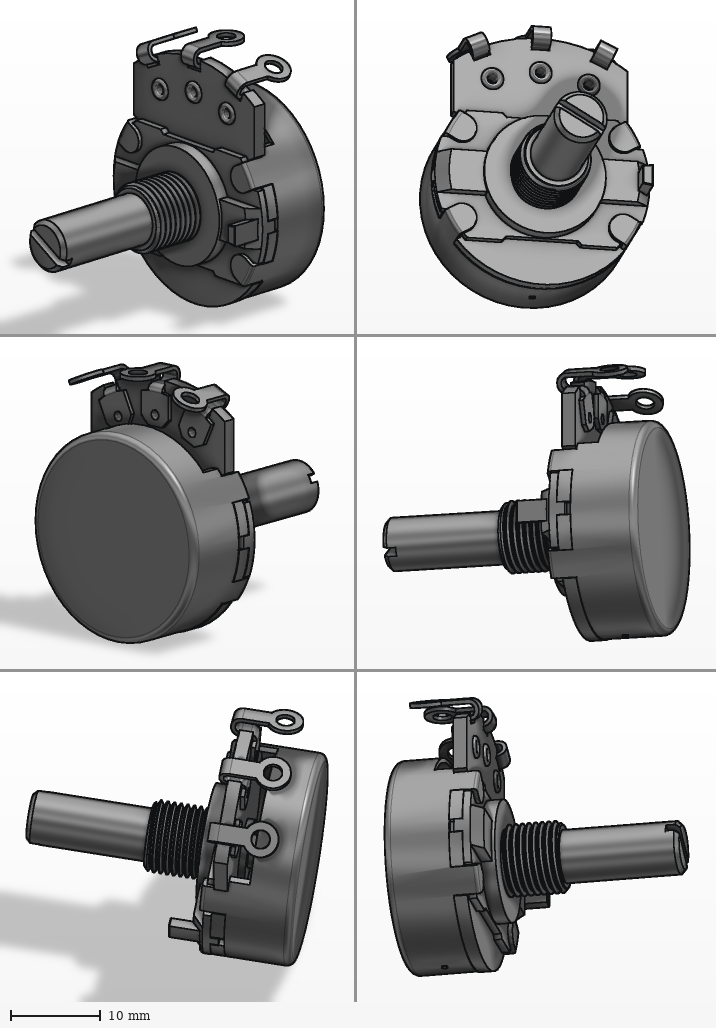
import cadquery as cq
import math


NOTCH_LEVEL = 5.17
BOARD_REAR = 7.5
BOARD_FRONT = 9.05
PLATE_FRONT = 9.95
TONGUE_FRONT = 10.47
BAND_FRONT = 11.2
WASHER_FRONT = 11.6
BUSHING_END = 18.1
SHAFT_END = 31.6

COVER_RADIUS = 12.0
COVER_WALL = 0.5
COVER_FILLET = 0.8
NOTCH_HEIGHT = 8.08
PIP_RADIUS = 0.33
PIP_HEIGHT = 0.1
PIP_LEVEL = 4.4

TAB_ANGLES = (30, 150, 210, 330)
TAB_HALF_WIDTH = 1.6
TAB_CLEARANCE = 0.05
TONGUE_CENTRE = 10.55
TONGUE_FILLET = 0.4

ROTOR_RADIUS = 3.54
ROTOR_REAR = 6.7
POST_RADIUS = 1.9
POST_REAR = 5.4

BOARD_RADIUS = 12.1
BOARD_HALF_WIDTH = 9.88
BOARD_TOP_RADIUS = 16.85
KEY_HALF_WIDTH = 0.73
KEY_GAP = 0.03
KEY_REAR = 8.1
KEY_DEPTH = 0.8

PLATE_RADIUS = 12.2
PLATE_SIDE_HALF_HEIGHT = 4.27
PLATE_SIDE_X = 10.7
PLATE_SHOULDER = (9.0, 6.9)
PLATE_HALF_HEIGHT = 7.48
PLATE_CORNER_X = 8.54
PLATE_DIP_HALF_HEIGHT = 7.0
PLATE_DIP_OUTER_X = 4.5
PLATE_DIP_INNER_X = 4.03
BAND_HALF_HEIGHT = 2.38
BAND_FRONT_RADIUS = 10.82
WASHER_RADIUS = 6.9

PIN_INNER_X = 10.63
PIN_OUTER_X = 11.8
PIN_INNER_HALF_HEIGHT = 1.05
PIN_OUTER_HALF_HEIGHT = 1.23
PIN_FRONT = 13.8
PIN_CHAMFER = 0.1

THREAD_RADIUS = 4.05
ROOT_RADIUS = 3.57
THREAD_PITCH = 0.75
THREAD_START = 11.07
CREST_HALF_WIDTH = 0.05
ROOT_HALF_WIDTH = 0.33
THREAD_OVERLAP = 0.07

SHAFT_RADIUS = 3.0
SHAFT_CHAMFER = 0.5
SLOT_WIDTH = 1.0
SLOT_DEPTH = 1.5
SLOT_ANGLE = -30

LUG_PLACES = ((-25, 0.12), (0, 0), (25, 0.12))
LUG_THICKNESS = 0.5
LUG_HALF_WIDTH = 1.03
LUG_TOP = 18.26
LUG_LOW = 15.85
LUG_BEND_LEVEL = 8.92
LUG_BEND_RADIUS = 1.14
LUG_FOOT_BEND = 0.35
EYE_RADIUS = 2.0
EYE_HOLE_RADIUS = 1.04
EYE_LEVEL = 4.15
FOOT_HALF_WIDTH = 2.0
FOOT_BOTTOM = 11.5
FOOT_CHAMFER = 1.0
FOOT_SHOULDER = 15.3
RIVET_CENTRE = 12.83
RIVET_RADIUS = 1.26
RIVET_HOLE_RADIUS = 0.55
RIVET_CREST_RADIUS = 0.95
RIVET_HEIGHT = 0.33


def cylinder(radius, start, end):
    return cq.Workplane("XY").workplane(offset=start).circle(radius).extrude(end - start)


def box(x_range, y_range, z_range):
    """Box between the given limits along each axis."""
    size = [limits[1] - limits[0] for limits in (x_range, y_range, z_range)]
    corner = (x_range[0], y_range[0], z_range[0])
    return cq.Workplane("XY").box(*size, centered=False).translate(corner)


def turned(body, angle):
    """Body rotated about the shaft axis."""
    return body.rotate((0, 0, 0), (0, 0, 1), angle)


def lug_placed(body, angle, outset):
    """Body drawn on the middle lug's axis, moved outward and turned to another lug's place."""
    return turned(body.translate((0, outset, 0)), angle)


def make_tab_outline():
    """Block on +X that bounds one cover tab: straight sides and a round inner end."""
    strip = box(
        (TONGUE_CENTRE, COVER_RADIUS), (-TAB_HALF_WIDTH, TAB_HALF_WIDTH), (COVER_WALL, TONGUE_FRONT)
    )
    tip = cylinder(TAB_HALF_WIDTH, COVER_WALL, TONGUE_FRONT).translate((TONGUE_CENTRE, 0, 0))
    return strip.union(tip)


def make_cover():
    """Hollow cup with a notch below the solder lugs; its tabs fold over the plate as rounded tongues."""
    outside = cylinder(COVER_RADIUS, 0, TONGUE_FRONT)
    outside = outside.faces("<Z").edges().fillet(COVER_FILLET).faces(">Z").edges().fillet(TONGUE_FILLET)
    kept = cylinder(COVER_RADIUS, 0, BOARD_REAR)
    for angle in TAB_ANGLES:
        kept = kept.union(turned(make_tab_outline(), angle))
    cavity = cylinder(COVER_RADIUS - COVER_WALL, COVER_WALL, PLATE_FRONT)
    notch = box(
        (-COVER_RADIUS, COVER_RADIUS), (NOTCH_HEIGHT, COVER_RADIUS), (NOTCH_LEVEL, BOARD_REAR)
    )
    pip = (
        cq.Workplane("XZ", origin=(0, COVER_WALL - COVER_RADIUS, PIP_LEVEL))
        .circle(PIP_RADIUS)
        .extrude(COVER_WALL + PIP_HEIGHT)
    )
    return outside.intersect(kept).cut(cavity).cut(notch).union(pip)


def make_rotor():
    return cylinder(ROTOR_RADIUS, ROTOR_REAR, BOARD_REAR).union(cylinder(POST_RADIUS, POST_REAR, ROTOR_REAR))


def make_board():
    """Round board with a wide upper part, and gaps for the tabs, the lugs and the plate keys."""
    span = (BOARD_REAR, BOARD_FRONT)
    upper = cylinder(BOARD_TOP_RADIUS, *span).intersect(
        box((-BOARD_HALF_WIDTH, BOARD_HALF_WIDTH), (0, BOARD_TOP_RADIUS), span)
    )
    board = cylinder(BOARD_RADIUS, *span).union(upper)
    gap_half_width = TAB_HALF_WIDTH + TAB_CLEARANCE
    tab_gap = box(
        (COVER_RADIUS - COVER_WALL, BOARD_TOP_RADIUS), (-gap_half_width, gap_half_width), span
    )
    for angle in TAB_ANGLES:
        board = board.cut(turned(tab_gap, angle))
    lug_gap = box(
        (-LUG_HALF_WIDTH, LUG_HALF_WIDTH), (LUG_LOW - LUG_FOOT_BEND, BOARD_TOP_RADIUS + LUG_THICKNESS), span
    )
    for angle, outset in LUG_PLACES:
        board = board.cut(lug_placed(lug_gap, angle, outset))
    key_gap_half_width = KEY_HALF_WIDTH + KEY_GAP
    key_gap = box(
        (BOARD_RADIUS - KEY_DEPTH, PLATE_RADIUS), (-key_gap_half_width, key_gap_half_width), span
    )
    for angle in (0, 180):
        board = board.cut(turned(key_gap, angle))
    return board


def make_plate():
    """Mounting plate with dipped edges, side keys, a bevelled band across it and a washer face."""
    side_x = math.sqrt(PLATE_RADIUS**2 - PLATE_SIDE_HALF_HEIGHT**2)
    quarter = [
        (PLATE_SIDE_X, PLATE_SIDE_HALF_HEIGHT),
        PLATE_SHOULDER,
        (PLATE_CORNER_X, PLATE_HALF_HEIGHT),
        (PLATE_DIP_OUTER_X, PLATE_HALF_HEIGHT),
        (PLATE_DIP_INNER_X, PLATE_DIP_HALF_HEIGHT),
    ]
    upper = quarter + [(-x, y) for x, y in reversed(quarter)]
    lower = [(-x, -y) for x, y in upper]
    outline = cq.Workplane("XY").workplane(offset=BOARD_FRONT).moveTo(side_x, PLATE_SIDE_HALF_HEIGHT)
    for point in upper:
        outline = outline.lineTo(*point)
    outline = outline.lineTo(-side_x, PLATE_SIDE_HALF_HEIGHT)
    outline = outline.threePointArc((-PLATE_RADIUS, 0), (-side_x, -PLATE_SIDE_HALF_HEIGHT))
    for point in lower:
        outline = outline.lineTo(*point)
    outline = outline.lineTo(side_x, -PLATE_SIDE_HALF_HEIGHT)
    outline = outline.threePointArc((PLATE_RADIUS, 0), (side_x, PLATE_SIDE_HALF_HEIGHT)).close()
    plate = outline.extrude(PLATE_FRONT - BOARD_FRONT)

    key = box(
        (PLATE_RADIUS - KEY_DEPTH, PLATE_RADIUS), (-KEY_HALF_WIDTH, KEY_HALF_WIDTH), (KEY_REAR, PLATE_FRONT)
    ).intersect(cylinder(PLATE_RADIUS, KEY_REAR, PLATE_FRONT))
    for angle in (0, 180):
        plate = plate.union(turned(key, angle))

    cone = (
        cq.Workplane("XZ")
        .polyline(
            [(0, BOARD_FRONT), (PLATE_RADIUS, BOARD_FRONT), (PLATE_RADIUS, PLATE_FRONT)]
            + [(BAND_FRONT_RADIUS, BAND_FRONT), (0, BAND_FRONT)]
        )
        .close()
        .revolve(360, (0, 0, 0), (0, 1, 0))
    )
    band = cone.intersect(
        box(
            (-PLATE_RADIUS, PLATE_RADIUS), (-BAND_HALF_HEIGHT, BAND_HALF_HEIGHT), (BOARD_FRONT, BAND_FRONT)
        )
    )
    return plate.union(band).union(cylinder(WASHER_RADIUS, BOARD_FRONT, WASHER_FRONT))


def make_pin():
    """Tapered locating pin on the +X end of the band."""
    return (
        cq.Workplane("XY")
        .workplane(offset=BOARD_FRONT)
        .polyline(
            [(PIN_INNER_X, -PIN_INNER_HALF_HEIGHT), (PIN_OUTER_X, -PIN_OUTER_HALF_HEIGHT)]
            + [(PIN_OUTER_X, PIN_OUTER_HALF_HEIGHT), (PIN_INNER_X, PIN_INNER_HALF_HEIGHT)]
        )
        .close()
        .extrude(PIN_FRONT - BOARD_FRONT)
        .faces(">Z")
        .chamfer(PIN_CHAMFER)
    )


def make_bushing():
    """Bushing with a right-hand thread and a chamfered end."""
    helix_length = BUSHING_END + THREAD_PITCH - THREAD_START
    helix = cq.Wire.makeHelix(THREAD_PITCH, helix_length, ROOT_RADIUS)
    foot_radius = ROOT_RADIUS - THREAD_OVERLAP
    ridge = (
        cq.Workplane("XZ")
        .polyline(
            [(foot_radius, -ROOT_HALF_WIDTH), (THREAD_RADIUS, -CREST_HALF_WIDTH)]
            + [(THREAD_RADIUS, CREST_HALF_WIDTH), (foot_radius, ROOT_HALF_WIDTH)]
        )
        .close()
        .sweep(cq.Workplane("XY").newObject([helix]), isFrenet=True)
        .translate((0, 0, THREAD_START))
    )
    envelope = cylinder(THREAD_RADIUS + THREAD_OVERLAP, WASHER_FRONT, BUSHING_END)
    envelope = envelope.faces(">Z").chamfer(THREAD_RADIUS + THREAD_OVERLAP - ROOT_RADIUS)
    core = cylinder(ROOT_RADIUS, BOARD_FRONT, BUSHING_END)
    return core.union(ridge.intersect(envelope))


def make_shaft():
    shaft = cylinder(SHAFT_RADIUS, BOARD_FRONT, SHAFT_END).faces(">Z").chamfer(SHAFT_CHAMFER)
    slot = box(
        (-SHAFT_RADIUS, SHAFT_RADIUS),
        (-SLOT_WIDTH / 2, SLOT_WIDTH / 2),
        (SHAFT_END - SLOT_DEPTH, SHAFT_END),
    )
    return shaft.cut(turned(slot, SLOT_ANGLE))


def make_lug():
    """Lug on +Y: a foot behind the board, a strip bent forward through the gap and back to the eye."""
    inner_bend = LUG_BEND_RADIUS - LUG_THICKNESS
    upper_bend_y = LUG_TOP - LUG_BEND_RADIUS
    lower_bend_y = LUG_LOW + LUG_BEND_RADIUS
    bend_front = LUG_BEND_LEVEL + LUG_BEND_RADIUS
    foot_rear = BOARD_REAR - LUG_THICKNESS
    foot_outer_bend = LUG_FOOT_BEND + LUG_THICKNESS
    foot_bend_y = LUG_LOW - LUG_FOOT_BEND
    foot_bend_z = BOARD_REAR + LUG_FOOT_BEND
    half_root = math.sqrt(0.5)
    strip = (
        cq.Workplane("YZ", origin=(-LUG_HALF_WIDTH, 0, 0))
        .moveTo(LUG_TOP, EYE_LEVEL)
        .lineTo(LUG_TOP, LUG_BEND_LEVEL)
        .radiusArc((upper_bend_y, bend_front), -LUG_BEND_RADIUS)
        .lineTo(lower_bend_y, bend_front)
        .radiusArc((LUG_LOW, LUG_BEND_LEVEL), -LUG_BEND_RADIUS)
        .lineTo(LUG_LOW, foot_bend_z)
        .threePointArc(
            (foot_bend_y + LUG_FOOT_BEND * half_root, foot_bend_z - LUG_FOOT_BEND * half_root),
            (foot_bend_y, BOARD_REAR),
        )
        .lineTo(RIVET_CENTRE, BOARD_REAR)
        .lineTo(RIVET_CENTRE, foot_rear)
        .lineTo(foot_bend_y, foot_rear)
        .threePointArc(
            (foot_bend_y + foot_outer_bend * half_root, foot_bend_z - foot_outer_bend * half_root),
            (LUG_LOW + LUG_THICKNESS, foot_bend_z),
        )
        .lineTo(LUG_LOW + LUG_THICKNESS, LUG_BEND_LEVEL)
        .radiusArc((lower_bend_y, bend_front - LUG_THICKNESS), inner_bend)
        .lineTo(upper_bend_y, bend_front - LUG_THICKNESS)
        .radiusArc((LUG_TOP - LUG_THICKNESS, LUG_BEND_LEVEL), inner_bend)
        .lineTo(LUG_TOP - LUG_THICKNESS, EYE_LEVEL)
        .close()
        .extrude(2 * LUG_HALF_WIDTH)
    )
    foot_half = [
        (FOOT_HALF_WIDTH - FOOT_CHAMFER, FOOT_BOTTOM),
        (FOOT_HALF_WIDTH, FOOT_BOTTOM + FOOT_CHAMFER),
        (FOOT_HALF_WIDTH, FOOT_SHOULDER),
        (LUG_HALF_WIDTH, foot_bend_y),
    ]
    foot = (
        cq.Workplane("XY")
        .workplane(offset=foot_rear)
        .polyline(foot_half + [(-x, y) for x, y in reversed(foot_half)])
        .close()
        .extrude(LUG_THICKNESS)
    )
    eye_plane = cq.Workplane("XZ", origin=(0, LUG_TOP, EYE_LEVEL))
    eye = eye_plane.circle(EYE_RADIUS).extrude(LUG_THICKNESS)
    eye_hole = eye_plane.circle(EYE_HOLE_RADIUS).extrude(LUG_THICKNESS)
    return strip.union(foot).union(eye).cut(eye_hole)


def make_rivet():
    """Rolled rivet head on the board front at the lug's foot, with a flared mouth."""
    crest_level = BOARD_FRONT + RIVET_HEIGHT
    rolled = RIVET_RADIUS - RIVET_CREST_RADIUS
    flare = RIVET_CREST_RADIUS - RIVET_HOLE_RADIUS
    half_root = math.sqrt(0.5)
    head = (
        cq.Workplane("XZ")
        .moveTo(RIVET_HOLE_RADIUS, BOARD_FRONT)
        .threePointArc(
            (RIVET_CREST_RADIUS - flare * half_root, BOARD_FRONT + RIVET_HEIGHT * half_root),
            (RIVET_CREST_RADIUS, crest_level),
        )
        .threePointArc(
            (RIVET_CREST_RADIUS + rolled * half_root, BOARD_FRONT + RIVET_HEIGHT * half_root),
            (RIVET_RADIUS, BOARD_FRONT),
        )
        .close()
        .revolve(360, (0, 0, 0), (0, 1, 0))
    )
    return head.translate((0, RIVET_CENTRE, 0))


def make_rivet_hole():
    return cylinder(RIVET_HOLE_RADIUS, 0, WASHER_FRONT).translate((0, RIVET_CENTRE, 0))


body = make_cover().union(make_board()).union(make_plate()).union(make_rotor())
terminal = make_lug().union(make_rivet())
rivet_hole = make_rivet_hole()
for lug_angle, lug_outset in LUG_PLACES:
    body = body.union(lug_placed(terminal, lug_angle, lug_outset))
    body = body.cut(lug_placed(rivet_hole, lug_angle, lug_outset))

body = body.union(make_pin()).union(make_bushing()).union(make_shaft())
result = body.rotate((0, 0, 0), (1, 0, 0), 90)